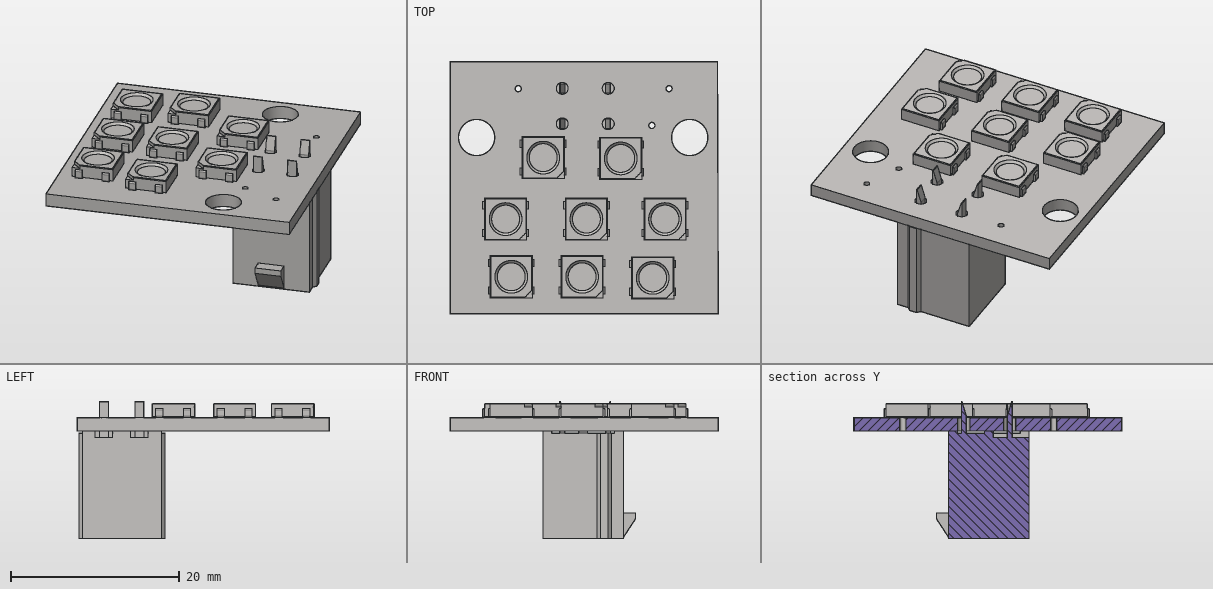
import cadquery as cq
BOARD_LENGTH = 31.95
BOARD_WIDTH = 30.03
BOARD_THICKNESS = 1.6
EDGE_SKEW = 0.1
MOUNT_HOLE_DIAMETER = 4.28
MOUNT_HOLES = [(-12.8, 5.97), (12.55, 5.97)]
VIA_DIAMETER = 0.7
VIAS = [(-7.85, 11.8), (10.1, 11.8), (8.05, 7.4)]
PIN_HOLE_DIAMETER = 1.4

LED_SIDE = 5.02
LED_TOP = 1.7
LED_STANDOFF = 0.13
LED_EDGE_CHAMFER = 0.1
WELL_TOP_DIAMETER = 3.9
WELL_FLOOR_DIAMETER = 3.32
WELL_DEPTH = 0.3
CORNER_CUT_LEG = 0.95
CORNER_CUT_DEPTH = 0.4
LEAD_REACH = 0.22
LEAD_WIDTH = 0.85
LEAD_SPACING = 3.3
LEAD_TOP = 1.1
LEAD_FOOT = 0.65
LEAD_BEND = 0.15
LED_CENTERS = [
    (-4.9, 3.58), (4.35, 3.48),
    (-9.35, -3.75), (0.25, -3.75), (9.62, -3.75),
    (-8.7, -10.6), (-0.25, -10.6), (8.15, -10.75),
]

HOUSING_LENGTH = 9.62
HOUSING_CENTER_X = -0.13
HOUSING_WIDTH = 9.43
HOUSING_CENTER_Y = 9.68
HOUSING_BOTTOM = -14.4
GAP_LENGTH = 7.45
GAP_DEPTH = 0.25
RIB_CENTER_X = 2.35
RIB_BASE = 1.73
RIB_HEIGHT = 0.4
LATCH_REACH = 1.45
LATCH_WIDTH = 3.2
LATCH_TOP = -11.35
LATCH_NOSE = 0.7
LATCH_RAMP_END = 0.15

PIN_X = (-2.62, 2.85)
PIN_CENTER_Y = 9.7
PIN_PITCH_Y = 4.22
PIN_THICKNESS = 0.6
PIN_TIP = 0.1
PIN_WIDTH = 1.1
PIN_TOP = 1.9
PIN_BEVEL_BOTTOM = 0.2
WINDOW_WIDTH = 2.08
WINDOW_DEPTH = 0.77
MID_WALL_LENGTH = 1.05

BOARD_BOTTOM = -BOARD_THICKNESS
HOUSING_X_MIN = HOUSING_CENTER_X - HOUSING_LENGTH / 2
HOUSING_X_MAX = HOUSING_CENTER_X + HOUSING_LENGTH / 2
GAP_FLOOR = BOARD_BOTTOM - GAP_DEPTH
MID_WALL_WIDTH = PIN_PITCH_Y + WINDOW_WIDTH
WINDOW_FLOOR = BOARD_BOTTOM - WINDOW_DEPTH
PIN_Y = [PIN_CENTER_Y + side * PIN_PITCH_Y / 2 for side in (-1, 1)]
PIN_CENTERS = [(x, y) for x in PIN_X for y in PIN_Y]


def block(x_range, y_range, z_range):
    """Box given by its limits along the three axes."""
    (x0, x1), (y0, y1), (z0, z1) = x_range, y_range, z_range
    return cq.Workplane("XY").box(x1 - x0, y1 - y0, z1 - z0, centered=False).translate((x0, y0, z0))


def centered(middle, size):
    """Limits of a span of the given size about its middle."""
    return (middle - size / 2, middle + size / 2)


def make_board():
    """Circuit board with its mounting holes, vias and pin holes."""
    half_x = BOARD_LENGTH / 2
    half_y = BOARD_WIDTH / 2
    outline = [(-half_x, -half_y), (half_x, -half_y), (half_x - EDGE_SKEW, half_y), (-half_x, half_y)]
    board = cq.Workplane("XY").polyline(outline).close().extrude(BOARD_BOTTOM)
    for places, diameter in (
        (MOUNT_HOLES, MOUNT_HOLE_DIAMETER),
        (VIAS, VIA_DIAMETER),
        (PIN_CENTERS, PIN_HOLE_DIAMETER),
    ):
        drills = cq.Workplane("XY").pushPoints(places).circle(diameter / 2).extrude(BOARD_BOTTOM)
        board = board.cut(drills)
    return board


def make_led(center):
    """LED package standing on four bent leads."""
    half = LED_SIDE / 2
    led = block((-half, half), (-half, half), (LED_STANDOFF, LED_TOP))
    led = led.faces(">Z").edges().chamfer(LED_EDGE_CHAMFER)

    well = (
        cq.Workplane("XY", origin=(0, 0, LED_TOP - WELL_DEPTH))
        .circle(WELL_FLOOR_DIAMETER / 2)
        .workplane(offset=WELL_DEPTH)
        .circle(WELL_TOP_DIAMETER / 2)
        .loft()
    )
    led = led.cut(well)

    corner = (
        cq.Workplane("XY", origin=(half, -half, LED_TOP - CORNER_CUT_DEPTH))
        .polyline([(0, 0), (0, CORNER_CUT_LEG), (-CORNER_CUT_LEG, 0)])
        .close()
        .extrude(CORNER_CUT_DEPTH)
    )
    led = led.cut(corner)

    lead_tip = half + LEAD_REACH
    for side in (-1, 1):
        right_lead = block(
            (half - LEAD_FOOT, lead_tip),
            centered(side * LEAD_SPACING / 2, LEAD_WIDTH),
            (0, LEAD_TOP),
        )
        right_lead = right_lead.faces(">X").edges("|Y").fillet(LEAD_BEND)
        led = led.union(right_lead).union(right_lead.mirror("YZ"))
    return led.translate((center[0], center[1], 0))


def make_pin(x, y, outer):
    """Pin with a one-sided bevel; its tall side faces `outer` (-1 or 1 along X)."""
    half = PIN_THICKNESS / 2
    blade_profile = [
        (x - outer * half, BOARD_BOTTOM),
        (x + outer * half, BOARD_BOTTOM),
        (x + outer * half, PIN_TOP),
        (x + outer * (half - PIN_TIP), PIN_TOP),
        (x - outer * half, PIN_BEVEL_BOTTOM),
    ]
    blade = (
        cq.Workplane("XZ", origin=(0, y + PIN_WIDTH / 2, 0))
        .polyline(blade_profile)
        .close()
        .extrude(PIN_WIDTH)
    )
    foot = block(
        centered(x, PIN_THICKNESS),
        centered(y, PIN_WIDTH),
        (WINDOW_FLOOR, BOARD_BOTTOM),
    )
    return blade.union(foot)


def make_connector():
    """Connector housing under the board, in one piece with its four pins."""
    y_span = centered(HOUSING_CENTER_Y, HOUSING_WIDTH)
    housing = block((HOUSING_X_MIN, HOUSING_X_MAX), y_span, (HOUSING_BOTTOM, BOARD_BOTTOM))

    half_base = RIB_BASE / 2
    half_crest = half_base - RIB_HEIGHT
    for side, wall in zip((-1, 1), y_span):
        crest = wall + side * RIB_HEIGHT
        rib = (
            cq.Workplane("XY", origin=(RIB_CENTER_X, 0, HOUSING_BOTTOM))
            .polyline([(-half_base, wall), (half_base, wall), (half_crest, crest), (-half_crest, crest)])
            .close()
            .extrude(GAP_FLOOR - HOUSING_BOTTOM)
        )
        housing = housing.union(rib)

    hook_profile = [
        (HOUSING_X_MAX, LATCH_TOP),
        (HOUSING_X_MAX + LATCH_REACH, LATCH_TOP),
        (HOUSING_X_MAX + LATCH_REACH, LATCH_TOP - LATCH_NOSE),
        (HOUSING_X_MAX, HOUSING_BOTTOM + LATCH_RAMP_END),
    ]
    hook = (
        cq.Workplane("XZ", origin=(0, HOUSING_CENTER_Y + LATCH_WIDTH / 2, 0))
        .polyline(hook_profile)
        .close()
        .extrude(LATCH_WIDTH)
    )
    housing = housing.union(hook)

    top_gap = block(centered(HOUSING_CENTER_X, GAP_LENGTH), y_span, (GAP_FLOOR, BOARD_BOTTOM))
    mid_wall_x = centered(HOUSING_CENTER_X, MID_WALL_LENGTH)
    mid_wall = block(mid_wall_x, centered(PIN_CENTER_Y, MID_WALL_WIDTH), (GAP_FLOOR, BOARD_BOTTOM))
    housing = housing.cut(top_gap.cut(mid_wall))

    window_end = mid_wall_x[0]
    for y in PIN_Y:
        window = block((HOUSING_X_MIN, window_end), centered(y, WINDOW_WIDTH), (WINDOW_FLOOR, BOARD_BOTTOM))
        housing = housing.cut(window)

    for outer, x in zip((-1, 1), PIN_X):
        for y in PIN_Y:
            housing = housing.union(make_pin(x, y, outer))
    return housing


board = make_board()
leds = [make_led(center) for center in LED_CENTERS]
connector = make_connector()

result = cq.Compound.makeCompound([board.val(), *[led.val() for led in leds], connector.val()])